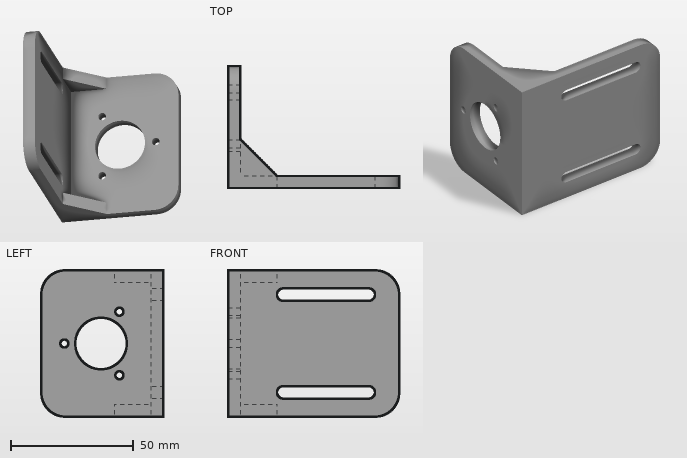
import cadquery as cq
import math

length = 70.0
depth = 50.0
height = 60.0
thickness = 5.0
corner_radius = 10.0

rib_leg = 15.0
rib_thickness = 5.0

slot_start = 20.0
slot_end = 60.0
slot_width = 5.0
slot_edge_distance = 10.0

bore_diameter = 21.0
bore_center_y = 25.5
screw_diameter = 3.2
screw_circle_radius = 15.0
screw_count = 3


def make_base_plate():
    """Plate along X with its two free corners rounded."""
    plate = cq.Workplane("XY").box(length, thickness, height, centered=False)
    return plate.edges("|Y and >X").fillet(corner_radius)


def make_motor_plate():
    """Plate along Y with its two free corners rounded."""
    plate = cq.Workplane("XY").box(thickness, depth, height, centered=False)
    return plate.edges("|X and >Y").fillet(corner_radius)


def make_rib(bottom_z):
    """Triangular rib in the inner corner, starting at the given height."""
    return (
        cq.Workplane("XY", origin=(thickness, thickness, bottom_z))
        .polyline([(0, 0), (rib_leg, 0), (0, rib_leg)])
        .close()
        .extrude(rib_thickness)
    )


def make_slot(center_z):
    """Cutter for one round-ended slot through the base plate."""
    center_x = (slot_start + slot_end) / 2
    return (
        cq.Workplane("XZ", origin=(center_x, thickness, center_z))
        .slot2D(slot_end - slot_start, slot_width)
        .extrude(thickness)
    )


def make_motor_holes():
    """Cutter for the central bore and the screw holes around it."""
    bore_plane = cq.Workplane("YZ", origin=(0, bore_center_y, height / 2))
    holes = bore_plane.circle(bore_diameter / 2).extrude(thickness)
    for index in range(screw_count):
        angle = 2 * math.pi * index / screw_count
        screw_y = screw_circle_radius * math.cos(angle)
        screw_z = screw_circle_radius * math.sin(angle)
        screw = bore_plane.center(screw_y, screw_z).circle(screw_diameter / 2).extrude(thickness)
        holes = holes.union(screw)
    return holes


bracket = make_base_plate().union(make_motor_plate())
for rib_bottom in (0, height - rib_thickness):
    bracket = bracket.union(make_rib(rib_bottom))
for slot_z in (slot_edge_distance, height - slot_edge_distance):
    bracket = bracket.cut(make_slot(slot_z))

result = bracket.cut(make_motor_holes())